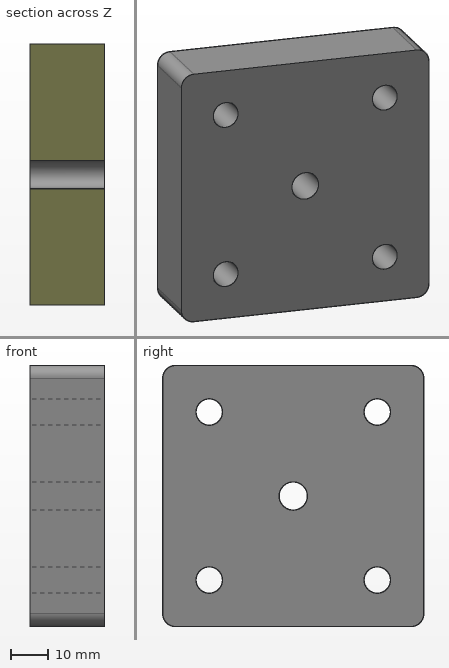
import cadquery as cq

thickness = 20.0
side = 70.0
corner_radius = 3.5

mount_hole_diameter = 7.0
mount_hole_spacing = 45.0
holes_per_row = 2
centre_hole_diameter = 7.5


def rounded_block():
    """Square block with its four X-direction edges rounded."""
    return cq.Workplane("YZ").box(side, side, thickness).edges("|X").fillet(corner_radius)


def drill_mount_holes(block):
    """Drill the square pattern of mounting holes through the thickness."""
    return (
        block.faces("<X")
        .workplane(centerOption="CenterOfBoundBox")
        .rarray(mount_hole_spacing, mount_hole_spacing, holes_per_row, holes_per_row)
        .hole(mount_hole_diameter)
    )


def drill_centre_hole(block):
    """Drill the centre hole through the thickness."""
    return (
        block.faces("<X")
        .workplane(centerOption="CenterOfBoundBox")
        .hole(centre_hole_diameter)
    )


block = rounded_block()
drilled_block = drill_mount_holes(block)
result = drill_centre_hole(drilled_block)